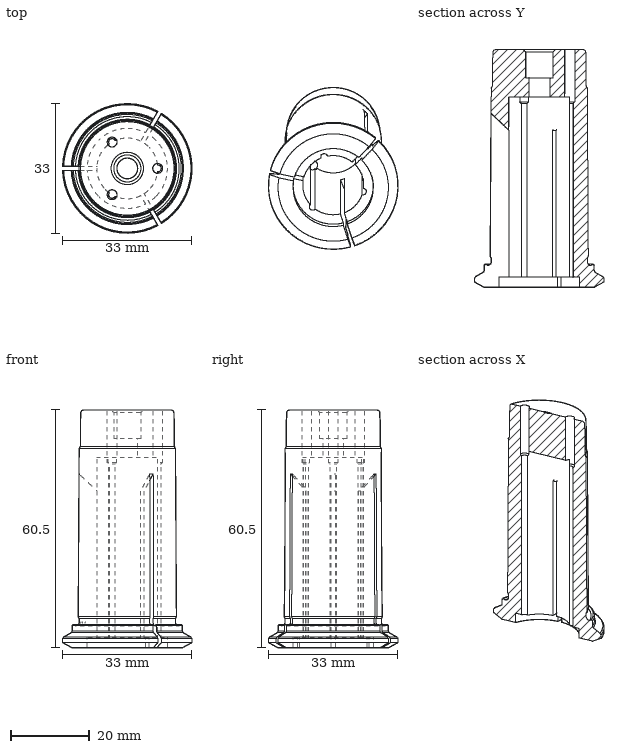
import cadquery as cq
import math

height = 60.5
flange_radius = 33.0 / 2
shoulder_radius = 14.05
body_bottom_radius = 12.5
body_top_radius = 12.3
neck_radius = 12.3
nose_radius = 12.0
tip_radius = 23.8 / 2
tip_fillet = 0.8

flange_low = 1.35
flange_edge_low = 2.35
flange_edge_high = 2.8
flange_edge_inset = 0.3
collar_flare_low = 3.9
collar_flare = 0.25
collar_low = 4.3
collar_high = 6.0
collar_chamfer = 0.3
neck_low = 6.55
neck_fillet = 0.9
neck_high = 7.45
body_low = 7.9
body_high = 50.65
nose_low = 51.25
nose_high = 57.9
tip_low = 58.55

bore_radius = 7.75
bore_top = 48.4
recess_radius = 20.4 / 2
recess_depth = 2.6

center_through_diameter = 5.2
center_thread_diameter = 6.9
center_mouth_diameter = 8.2
center_thread_depth = 7.25

hole_radius = 2.5 / 2
hole_tail_radius = 0.85
hole_depth = 13.3

repeat_count = 3
first_hole_angle = 0
first_slot_angle = 60
slot_width = 1.0
slot_top_outside = 44.45
slot_top_inside = 39.9
slot_overrun = 0.6


def polar_angles(start):
    return [start + i * 360 / repeat_count for i in range(repeat_count)]


def make_body():
    fillet_mid = tip_fillet * math.sqrt(0.5)
    neck_fillet_mid = neck_fillet * math.sqrt(0.5)
    trough_radius = neck_radius + neck_fillet
    fillet_center_radius = tip_radius - tip_fillet
    fillet_center_height = height - tip_fillet
    return (
        cq.Workplane("XZ")
        .moveTo(0, 0)
        .lineTo(shoulder_radius, 0)
        .lineTo(flange_radius, flange_low)
        .lineTo(flange_radius, flange_edge_low)
        .lineTo(flange_radius - flange_edge_inset, flange_edge_high)
        .lineTo(shoulder_radius + collar_flare, collar_flare_low)
        .lineTo(shoulder_radius, collar_low)
        .lineTo(shoulder_radius, collar_high - collar_chamfer)
        .lineTo(shoulder_radius - collar_chamfer, collar_high)
        .lineTo(trough_radius, neck_low - neck_fillet)
        .threePointArc(
            (trough_radius - neck_fillet_mid, neck_low - neck_fillet_mid),
            (neck_radius, neck_low),
        )
        .lineTo(neck_radius, neck_high)
        .lineTo(body_bottom_radius, body_low)
        .lineTo(body_top_radius, body_high)
        .lineTo(nose_radius, nose_low)
        .lineTo(nose_radius, nose_high)
        .lineTo(tip_radius, tip_low)
        .lineTo(tip_radius, fillet_center_height)
        .threePointArc(
            (fillet_center_radius + fillet_mid, fillet_center_height + fillet_mid),
            (fillet_center_radius, height),
        )
        .lineTo(0, height)
        .close()
        .revolve(360, (0, 0, 0), (0, 1, 0))
    )


def cut_bore(body):
    bore = cq.Workplane("XY").circle(bore_radius).extrude(bore_top)
    recess = cq.Workplane("XY").circle(recess_radius).extrude(recess_depth)
    return body.cut(bore).cut(recess)


def cut_center_hole(body):
    through_radius = center_through_diameter / 2
    thread_radius = center_thread_diameter / 2
    mouth_radius = center_mouth_diameter / 2
    mouth_chamfer = mouth_radius - thread_radius
    thread_bottom = height - center_thread_depth
    hole = (
        cq.Workplane("XZ")
        .moveTo(0, 0)
        .lineTo(through_radius, 0)
        .lineTo(through_radius, thread_bottom)
        .lineTo(thread_radius, thread_bottom)
        .lineTo(thread_radius, height - mouth_chamfer)
        .lineTo(mouth_radius, height)
        .lineTo(0, height)
        .close()
        .revolve(360, (0, 0, 0), (0, 1, 0))
    )
    return body.cut(hole)


def cut_small_holes(body):
    """Holes that taper to a thin tail, which runs down the bore wall as a groove."""
    hole_bottom = height - hole_depth
    taper_height = hole_radius - hole_tail_radius
    hole = (
        cq.Workplane("XZ")
        .moveTo(0, 0)
        .lineTo(hole_tail_radius, 0)
        .lineTo(hole_tail_radius, hole_bottom - taper_height)
        .lineTo(hole_radius, hole_bottom)
        .lineTo(hole_radius, height)
        .lineTo(0, height)
        .close()
        .revolve(360, (0, 0, 0), (0, 1, 0))
        .translate((bore_radius, 0, 0))
    )
    for angle in polar_angles(first_hole_angle):
        body = body.cut(hole.rotate((0, 0, 0), (0, 0, 1), angle))
    return body


def cut_slots(body):
    """Radial slots from the bore outwards, open at the bottom, with a sloping upper end."""
    slope = (slot_top_outside - slot_top_inside) / (body_bottom_radius - bore_radius)
    outer_end = flange_radius + slot_overrun
    inner_end = bore_radius - slot_overrun
    slot = (
        cq.Workplane("XZ")
        .moveTo(inner_end, 0)
        .lineTo(outer_end, 0)
        .lineTo(outer_end, slot_top_inside + slope * (outer_end - bore_radius))
        .lineTo(inner_end, slot_top_inside + slope * (inner_end - bore_radius))
        .close()
        .extrude(slot_width / 2, both=True)
    )
    for angle in polar_angles(first_slot_angle):
        body = body.cut(slot.rotate((0, 0, 0), (0, 0, 1), angle))
    return body


result = cut_slots(cut_small_holes(cut_center_hole(cut_bore(make_body()))))